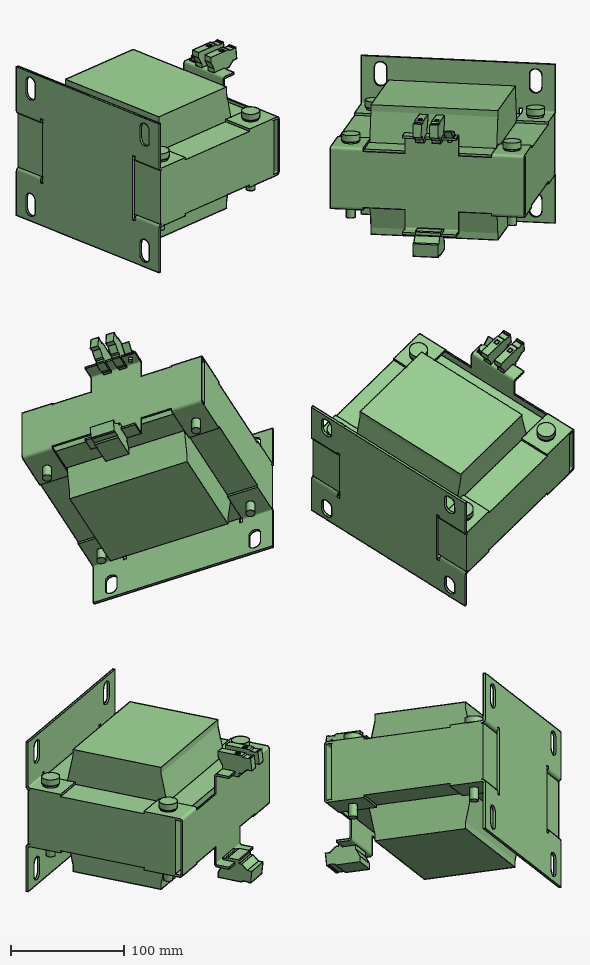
import cadquery as cq
import math

width = 174.0
depth = 183.2
plate_height = 145.0

core_half_height = 26.2
core_back = 147.1
leg_width = 29.3
window_half_width = width / 2 - leg_width

plate_thickness = 2.2
plate_bend_radius = 3.7
flange_top = core_half_height + plate_thickness
plate_flange_end = 34.0
bracket_thickness = 1.5
bracket_bend_radius = 2.7
bracket_back = 154.0
bracket_flange_end = 116.1
relief_width = 2.7
relief_top = 31.1

slot_x = 69.6
slot_z = 56.6
slot_width = 11.2
slot_length = 22.0

coil_half_width = 57.0
coil_front = plate_thickness + leg_width
coil_back = 118.2
coil_half_height = 59.2
coil_taper = 5.9
coil_taper_top = 53.1

bolt_x = width / 2 - leg_width / 2
bolt_seats = ((17.0, 0.5), (132.8, 0.0))
bolt_head_diameter = 16.1
bolt_head_height = 6.2
bolt_neck_diameter = 14.3
bolt_neck_height = 1.5
bolt_diameter = 8.0
bolt_end = -40.3

tab_left = -28.4
tab_right = 20.0
tab_end = 166.7
tab_top = 45.0
tab_thickness = 2.0
tab_bend_radius = 2.7

block_width = 7.5
block_left = -15.0
block_pitch = 15.0
block_top = 61.2
block_ledge = 59.9
block_lip = 60.5
block_waist = 48.7
block_jaw = 43.8
block_bottom = 40.3
block_front = 150.0
block_ledge_start = 173.1
block_lip_start = 179.5
block_foot_back = 170.7
block_foot_front = 159.5
block_step_run = 1.3
block_lip_run = 0.7
block_end_lean = 1.3
block_end_ledge = 4.4
block_foot_chamfer = 0.82
block_toe_run = 3.1
block_toe_rise = 1.3
block_face_height = 5.3
marker_width = 3.3
marker_length = 4.2
marker_depth = 0.7
marker_y = 167.5

earth_x = -21.8
earth_y = 161.8
earth_head_diameter = 8.0
earth_head_height = 3.1
earth_screw_diameter = 3.8
washer_size = 8.5
washer_height = 1.1
lug_width = 7.0
lug_thickness = 0.4
lug_run = 7.0


def box(x0, x1, y0, y1, z0, z1):
    return cq.Workplane("XY").box(x1 - x0, y1 - y0, z1 - z0, centered=False).translate((x0, y0, z0))


def side_profile(points, x0, x1):
    """Extrude a closed (Y, Z) outline from x0 to x1."""
    return cq.Workplane("YZ").polyline(points).close().extrude(x1 - x0).translate((x0, 0, 0))


def upright_cylinder(x, y, diameter, z0, z1):
    return cq.Workplane("XY", origin=(x, y, z0)).circle(diameter / 2).extrude(z1 - z0)


def mirrored_in_z(body):
    return body.union(body.mirror("XY"))


def mirrored_in_x(body):
    return body.union(body.mirror("YZ"))


def make_core():
    core = box(-width / 2, width / 2, plate_thickness, core_back, -core_half_height, core_half_height)
    window = box(-window_half_width, window_half_width, coil_front, coil_back,
                 -core_half_height, core_half_height)
    return core.cut(window)


def make_coil():
    upper_outline = [
        (coil_front, 0),
        (coil_front, core_half_height),
        (coil_front - coil_taper, core_half_height),
        (coil_front, coil_taper_top),
        (coil_front, coil_half_height),
        (coil_back, coil_half_height),
        (coil_back, coil_taper_top),
        (coil_back + coil_taper, core_half_height),
        (coil_back, core_half_height),
        (coil_back, 0),
    ]
    return mirrored_in_z(side_profile(upper_outline, -coil_half_width, coil_half_width))


def make_plate_flange():
    """Upper left flange, bent back from the mounting plate around the edge of its opening."""
    inner_radius = plate_bend_radius - plate_thickness
    bend_z = core_half_height + plate_bend_radius
    turn = math.sqrt(0.5)
    section = (
        cq.Workplane("YZ")
        .moveTo(plate_flange_end, core_half_height)
        .lineTo(plate_bend_radius, core_half_height)
        .threePointArc(
            (plate_bend_radius * (1 - turn), bend_z - plate_bend_radius * turn), (0, bend_z))
        .lineTo(plate_thickness, bend_z)
        .threePointArc(
            (plate_bend_radius - inner_radius * turn, bend_z - inner_radius * turn),
            (plate_bend_radius, flange_top))
        .lineTo(plate_flange_end, flange_top)
        .close()
    )
    return section.extrude(leg_width).translate((-width / 2, 0, 0))


def make_mounting_plate():
    plate = box(-width / 2, width / 2, 0, plate_thickness, -plate_height / 2, plate_height / 2)
    bend_z = core_half_height + plate_bend_radius
    opening = box(-width / 2, -window_half_width, 0, plate_thickness, -bend_z, bend_z)
    relief = box(-window_half_width, relief_width - window_half_width, 0, plate_thickness,
                 -relief_top, relief_top)
    plate = plate.cut(mirrored_in_x(opening.union(relief)))
    slots = (
        cq.Workplane("XZ")
        .rect(2 * slot_x, 2 * slot_z, forConstruction=True)
        .vertices()
        .slot2D(slot_length, slot_width, 90)
        .extrude(-plate_thickness)
    )
    return plate.cut(slots).union(mirrored_in_x(mirrored_in_z(make_plate_flange())))


def make_rear_bracket():
    """Rear wall with four clamping flanges and a terminal tab above and below."""
    wall_front = bracket_back - bracket_thickness
    shell = box(-width / 2, width / 2, bracket_flange_end, bracket_back, -flange_top, flange_top)
    shell = shell.edges("|X and >Y").fillet(bracket_bend_radius)
    hollow = box(-width / 2, width / 2, 0, wall_front, -core_half_height, core_half_height)
    hollow = hollow.edges("|X and >Y").fillet(bracket_bend_radius - bracket_thickness)
    wall_top = flange_top - bracket_bend_radius
    gap = box(-window_half_width, window_half_width, 0, wall_front, -flange_top, flange_top)
    wall_recess = box(-window_half_width, window_half_width, wall_front, bracket_back,
                      wall_top, flange_top)
    bracket = shell.cut(hollow).cut(gap).cut(mirrored_in_z(wall_recess))

    tab = box(tab_left, tab_right, wall_front, tab_end, 0, tab_top)
    tab = tab.edges("|X and <Y and >Z").fillet(tab_bend_radius)
    below_tab = box(tab_left, tab_right, bracket_back, tab_end, 0, tab_top - tab_thickness)
    tab = tab.cut(below_tab.edges("|X and <Y and >Z").fillet(tab_bend_radius - bracket_thickness))
    return bracket.union(mirrored_in_z(tab))


def make_bolt(x, y, lift):
    seat = flange_top + lift
    neck_top = seat + bolt_neck_height
    bolt = upright_cylinder(x, y, bolt_diameter, bolt_end + lift, seat)
    neck = upright_cylinder(x, y, bolt_neck_diameter, flange_top, neck_top)
    head = upright_cylinder(x, y, bolt_head_diameter, neck_top, neck_top + bolt_head_height)
    return bolt.union(neck).union(head)


def make_terminal_block(x0, x1):
    """Upper terminal block, gripping the tab."""
    outline = [
        (block_front, block_top),
        (block_ledge_start, block_top),
        (block_ledge_start + block_step_run, block_ledge),
        (block_lip_start, block_ledge),
        (block_lip_start + block_lip_run, block_lip),
        (depth - block_end_lean, block_lip),
        (depth, block_waist),
        (depth - block_end_ledge, block_waist),
        (block_ledge_start, block_jaw),
        (block_foot_back, block_jaw),
        (block_foot_back, block_bottom + block_foot_chamfer),
        (block_foot_back - block_foot_chamfer, block_bottom),
        (block_foot_front, block_bottom),
        (block_foot_front - block_toe_run, block_bottom + block_toe_rise),
        (bracket_back, block_bottom + block_toe_rise),
        (bracket_back, block_waist),
        (block_front, block_top - block_face_height),
    ]
    return side_profile(outline, x0, x1)


def make_upper_blocks():
    blocks = cq.Workplane("XY")
    for x0 in (block_left, block_left + block_pitch):
        middle = x0 + block_width / 2
        marker = box(middle - marker_width / 2, middle + marker_width / 2,
                     marker_y - marker_length / 2, marker_y + marker_length / 2,
                     block_top - marker_depth, block_top)
        blocks = blocks.union(make_terminal_block(x0, x0 + block_width).cut(marker))
    return blocks


def make_lower_block():
    block_right = block_left + block_pitch + block_width
    return make_terminal_block(block_left, block_right).mirror("XY")


def make_earth_terminal():
    washer_top = tab_top + washer_height
    half = washer_size / 2
    washer = box(earth_x - half, earth_x + half, earth_y - half, earth_y + half,
                 tab_top, washer_top)
    head_top = washer_top + earth_head_height
    head = upright_cylinder(earth_x, earth_y, earth_head_diameter, washer_top, head_top)
    screw = upright_cylinder(earth_x, earth_y, earth_screw_diameter, block_bottom, washer_top)
    root = earth_y + half
    lug_outline = [
        (root, tab_top),
        (root + lug_run + lug_thickness, tab_top + lug_run + lug_thickness),
        (root + lug_run, tab_top + lug_run + 2 * lug_thickness),
        (root - lug_thickness, washer_top),
    ]
    lug = side_profile(lug_outline, earth_x - lug_width / 2, earth_x + lug_width / 2)
    return washer.union(head).union(screw).union(lug)


result = make_core().union(make_coil()).union(make_mounting_plate()).union(make_rear_bracket())
for y, lift in bolt_seats:
    for x in (-bolt_x, bolt_x):
        result = result.union(make_bolt(x, y, lift))
result = result.union(make_upper_blocks()).union(make_lower_block()).union(make_earth_terminal())